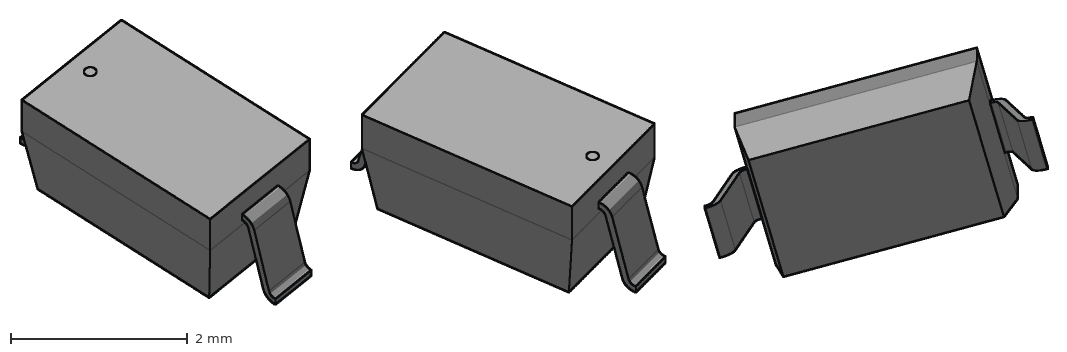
import cadquery as cq
import math

overall_length = 3.86
housing_length = 2.85
housing_width = 1.7
housing_height = 1.45

parting_height = 0.945
base_inset = 0.127

lead_width = 0.615
lead_thickness = 0.093
lead_top = 1.115
bend_inner_radius = 0.085
lead_angle = math.radians(75)

mark_diameter = 0.143
mark_depth = 0.02
mark_x = -1.143

bend_radius = bend_inner_radius + lead_thickness / 2
wall_x = housing_length / 2
tip_x = overall_length / 2
stub_z = lead_top - lead_thickness / 2
foot_z = lead_thickness / 2
bend_run = bend_radius * math.sin(lead_angle)
bend_drop = bend_radius * (1 - math.cos(lead_angle))
leg_drop = stub_z - foot_z - 2 * bend_drop
leg_run = leg_drop / math.tan(lead_angle)
flat_length = (tip_x - wall_x - 2 * bend_run - leg_run) / 2
stub_end_x = wall_x + flat_length
foot_start_x = tip_x - flat_length
half_bend_run = bend_radius * math.sin(lead_angle / 2)
half_bend_drop = bend_radius * (1 - math.cos(lead_angle / 2))


def make_mark():
    """Thin disc whose upper face is level with the housing top."""
    return (
        cq.Workplane("XY", origin=(mark_x, 0, housing_height - mark_depth))
        .circle(mark_diameter / 2)
        .extrude(mark_depth)
    )


def make_housing(mark):
    """Moulded housing with a recess that fits the polarity mark."""
    upper = (
        cq.Workplane("XY", origin=(0, 0, parting_height))
        .rect(housing_length, housing_width)
        .extrude(housing_height - parting_height)
    )
    lower = (
        cq.Workplane("XY")
        .rect(housing_length - 2 * base_inset, housing_width - 2 * base_inset)
        .workplane(offset=parting_height)
        .rect(housing_length, housing_width)
        .loft(ruled=True)
    )
    return upper.union(lower).cut(mark)


def make_lead(turn):
    """Bent lead on the +X end, turned about Z by the given angle in degrees."""
    leg_top = (stub_end_x + bend_run, stub_z - bend_drop)
    leg_bottom = (foot_start_x - bend_run, foot_z + bend_drop)
    centre_line = (
        cq.Workplane("XZ")
        .moveTo(wall_x, stub_z)
        .lineTo(stub_end_x, stub_z)
        .threePointArc((stub_end_x + half_bend_run, stub_z - half_bend_drop), leg_top)
        .lineTo(*leg_bottom)
        .threePointArc((foot_start_x - half_bend_run, foot_z + half_bend_drop), (foot_start_x, foot_z))
        .lineTo(tip_x, foot_z)
    )
    lead = (
        cq.Workplane("YZ", origin=(wall_x, 0, stub_z))
        .rect(lead_width, lead_thickness)
        .sweep(centre_line)
    )
    return lead.rotate((0, 0, 0), (0, 0, 1), turn)


mark = make_mark()
housing = make_housing(mark)
leads = [make_lead(turn).val() for turn in (0, 180)]

result = cq.Compound.makeCompound([housing.val(), mark.val(), *leads])